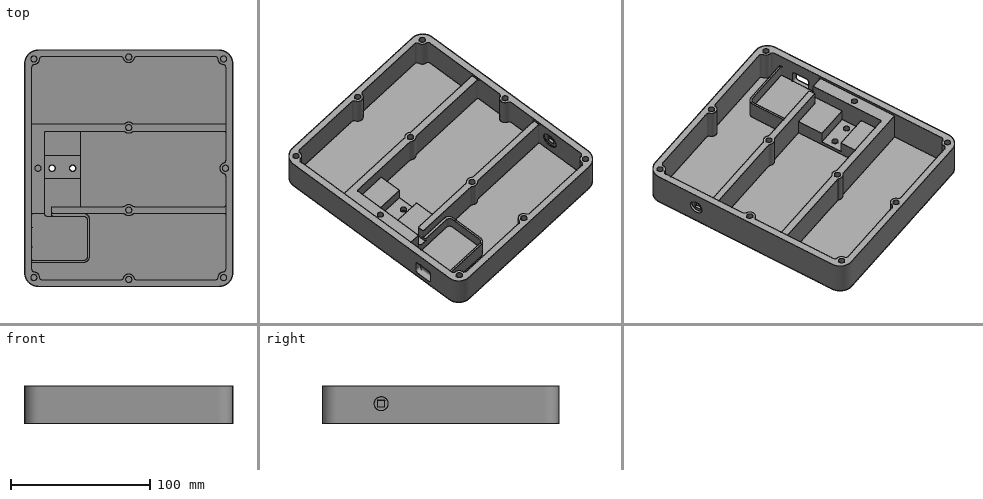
import cadquery as cq
import math

LENGTH_X = 149.6
LENGTH_Y = 170.0
HEIGHT = 27.0
CORNER_RADIUS = 10.0
FLOOR = 2.0
INNER_X = 69.7
INNER_Y = 80.2
OUTER_X = LENGTH_X / 2
OUTER_Y = LENGTH_Y / 2

SCREW_DIAMETER = 4.5
SCREW_DEPTH = 17.0
BOSS_DIAMETER = 8.0
WALL_BOSS_FILLET = 2.0
RIB_BOSS_FILLET = 3.0
CORNER_SCREW_X = 68.2
CORNER_SCREW_Y = 78.5
END_SCREW_Y = 79.9
SIDE_SCREW_X = 69.5
LEDGE_SCREW_X = -65.3

RIB_TOP = 25.0
UPPER_RIB_BACK = 31.8
UPPER_RIB_FRONT = 26.5
LOWER_RIB_BACK = -27.7
LOWER_RIB_FRONT = -32.5
SMALL_RADIUS = 1.0

LEDGE_X = -60.5
PLATFORM_X = -34.5
PLATFORM_TOP = 14.1
GAP_BACK = 9.0
GAP_FRONT = -7.5
GAP_TOP = 5.0
MOUNT_HOLES_X = (-55.0, -40.3)

TRAY_X = -28.2
TRAY_FRONT = -67.7
TRAY_WALL = 1.4
TRAY_BACK_WALL = 2.0
TRAY_TOP = 16.7
TRAY_FLOOR = 7.1
TRAY_INNER_RADIUS = 3.0
TRAY_OUTER_RADIUS = TRAY_INNER_RADIUS + TRAY_WALL
PASSAGE_X = -55.5
TRAY_INNER_BACK = LOWER_RIB_FRONT - TRAY_BACK_WALL

SLOT_Y = -49.6
SLOT_WIDTH = 14.0
SLOT_BOTTOM = 4.0
SLOT_TOP = 16.5
SLOT_RADIUS = 2.0
STEP_X = -70.0
STEP_RADIUS = 1.0

JACK_Y = -42.8
JACK_Z = 14.3
JACK_SIDE = 5.1
JACK_WEB = 2.0
JACK_INNER_DIAMETER = 12.0
JACK_INNER_DEPTH = 1.0
JACK_OUTER_DIAMETER = 10.0

corner_screws = [(i * CORNER_SCREW_X, j * CORNER_SCREW_Y) for i in (-1, 1) for j in (-1, 1)]
wall_screws = corner_screws + [(0, -END_SCREW_Y), (0, END_SCREW_Y), (SIDE_SCREW_X, 0)]
rib_screws = [
    (0, (UPPER_RIB_BACK + UPPER_RIB_FRONT) / 2),
    (0, (LOWER_RIB_BACK + LOWER_RIB_FRONT) / 2),
]
bossed_screws = wall_screws + rib_screws
all_screws = bossed_screws + [(LEDGE_SCREW_X, 0)]


def block(x0, x1, y0, y1, z0, z1):
    """Box between two opposite corners."""
    return cq.Workplane("XY").box(x1 - x0, y1 - y0, z1 - z0, centered=False).translate((x0, y0, z0))


def round_upright_edges(solid, points, reach, radius):
    """Fillet the vertical edges that lie within reach of each (x, y) point."""
    for x, y in points:
        near = cq.selectors.BoxSelector((x - reach, y - reach, 0), (x + reach, y + reach, HEIGHT))
        edges = solid.edges("|Z").edges(near)
        if edges.size():
            solid = edges.fillet(radius)
    return solid


def compartment(x0, x1, y0, y1, rounded_corners=(), blend_rib_bosses=True):
    """Cavity above the floor that leaves the screw bosses standing."""
    bosses = cq.Workplane("XY").pushPoints(bossed_screws).circle(BOSS_DIAMETER / 2).extrude(HEIGHT)
    cavity = block(x0, x1, y0, y1, FLOOR, HEIGHT).cut(bosses)
    cavity = round_upright_edges(cavity, wall_screws, BOSS_DIAMETER, WALL_BOSS_FILLET)
    if blend_rib_bosses:
        cavity = round_upright_edges(cavity, rib_screws, BOSS_DIAMETER, RIB_BOSS_FILLET)
    return round_upright_edges(cavity, rounded_corners, SMALL_RADIUS, SMALL_RADIUS)


def make_shell():
    """Rounded box with three compartments, its ribs and ledge set below the rim."""
    shell = block(-OUTER_X, OUTER_X, -OUTER_Y, OUTER_Y, 0, HEIGHT).edges("|Z").fillet(CORNER_RADIUS)
    back = compartment(-INNER_X, INNER_X, UPPER_RIB_BACK, INNER_Y, blend_rib_bosses=False)
    middle_corners = [
        (LEDGE_X, UPPER_RIB_FRONT),
        (INNER_X, UPPER_RIB_FRONT),
        (INNER_X, LOWER_RIB_BACK),
    ]
    middle = compartment(LEDGE_X, INNER_X, LOWER_RIB_BACK, UPPER_RIB_FRONT, middle_corners)
    front_corners = [(-INNER_X, LOWER_RIB_FRONT), (INNER_X, LOWER_RIB_FRONT)]
    front = compartment(-INNER_X, INNER_X, -INNER_Y, LOWER_RIB_FRONT, front_corners)
    shell = shell.cut(back).cut(middle).cut(front)

    for _, y in rib_screws:
        shell = shell.cut(block(-INNER_X, INNER_X, y - BOSS_DIAMETER, y + BOSS_DIAMETER, RIB_TOP, HEIGHT))
    return shell.cut(block(-INNER_X, LEDGE_X, LOWER_RIB_FRONT, UPPER_RIB_BACK, RIB_TOP, HEIGHT))


def add_platform(body):
    """Two raised pads beside the ledge with a lower gap between them."""
    for front, back, top in (
        (LOWER_RIB_BACK, GAP_FRONT, PLATFORM_TOP),
        (GAP_FRONT, GAP_BACK, GAP_TOP),
        (GAP_BACK, UPPER_RIB_FRONT, PLATFORM_TOP),
    ):
        body = body.union(block(LEDGE_X, PLATFORM_X, front, back, 0, top))
    return body


def add_tray(body):
    """Walled tray with a raised floor, and the passage from it to the platform."""
    walls = block(-INNER_X, TRAY_X, TRAY_FRONT, LOWER_RIB_FRONT, 0, TRAY_TOP)
    walls = walls.edges("|Z and >X").fillet(TRAY_OUTER_RADIUS)

    pocket = block(
        -INNER_X, TRAY_X - TRAY_WALL, TRAY_FRONT + TRAY_WALL, TRAY_INNER_BACK, TRAY_FLOOR, TRAY_TOP
    )
    pocket = pocket.edges("|Z and >X").fillet(TRAY_INNER_RADIUS)
    pocket = round_upright_edges(pocket, [(-INNER_X, TRAY_FRONT + TRAY_WALL)], SMALL_RADIUS, SMALL_RADIUS)

    alcove = block(
        -INNER_X, LEDGE_X + TRAY_BACK_WALL, TRAY_INNER_BACK, LOWER_RIB_FRONT, TRAY_FLOOR, TRAY_TOP
    )
    alcove = round_upright_edges(alcove, [(-INNER_X, LOWER_RIB_FRONT)], SMALL_RADIUS, SMALL_RADIUS)
    wall_end = cq.Workplane("XY").center(LEDGE_X + TRAY_BACK_WALL, LOWER_RIB_FRONT)
    wall_end = wall_end.circle(TRAY_BACK_WALL).extrude(PLATFORM_TOP)
    alcove = alcove.cut(wall_end)

    passage = block(LEDGE_X, PASSAGE_X, TRAY_INNER_BACK, LOWER_RIB_BACK, PLATFORM_TOP, HEIGHT)
    body = body.union(walls).cut(pocket).cut(alcove).cut(passage)
    rib_end = [(PASSAGE_X, LOWER_RIB_FRONT), (PASSAGE_X, TRAY_INNER_BACK)]
    return round_upright_edges(body, rib_end, SMALL_RADIUS / 4, SMALL_RADIUS)


def cut_screw_holes(body):
    """Blind screw holes from the rim and two mounting holes through the gap."""
    blind = cq.Workplane("XY", origin=(0, 0, HEIGHT)).pushPoints(all_screws)
    blind = blind.circle(SCREW_DIAMETER / 2).extrude(-SCREW_DEPTH)
    mounts = cq.Workplane("XY").pushPoints([(x, 0) for x in MOUNT_HOLES_X])
    mounts = mounts.circle(SCREW_DIAMETER / 2).extrude(PLATFORM_TOP)
    return body.cut(blind).cut(mounts)


def cut_connector_slot(body):
    """Rounded slot whose sill curves up a step into the tray floor."""
    bend = STEP_RADIUS * math.sqrt(0.5)
    sill_end = STEP_X - STEP_RADIUS
    step_end = STEP_X + STEP_RADIUS
    slot_back = SLOT_Y + SLOT_WIDTH / 2
    slot_front = SLOT_Y - SLOT_WIDTH / 2
    profile = (
        cq.Workplane("XZ", origin=(0, slot_back, 0))
        .moveTo(-OUTER_X, SLOT_BOTTOM)
        .lineTo(sill_end, SLOT_BOTTOM)
        .threePointArc(
            (sill_end + bend, SLOT_BOTTOM + STEP_RADIUS - bend),
            (STEP_X, SLOT_BOTTOM + STEP_RADIUS),
        )
        .lineTo(STEP_X, TRAY_FLOOR - STEP_RADIUS)
        .threePointArc(
            (step_end - bend, TRAY_FLOOR - STEP_RADIUS + bend),
            (step_end, TRAY_FLOOR),
        )
        .lineTo(step_end, SLOT_TOP)
        .lineTo(-OUTER_X, SLOT_TOP)
        .close()
        .extrude(SLOT_WIDTH)
    )
    opening = block(-OUTER_X, step_end, slot_front, slot_back, SLOT_BOTTOM, SLOT_TOP)
    opening = opening.edges("|X").fillet(SLOT_RADIUS)
    return body.cut(profile.intersect(opening))


def cut_jack_opening(body):
    """Square opening with a round recess on each side of the wall."""
    inner_face = cq.Workplane("YZ", origin=(INNER_X, JACK_Y, JACK_Z))
    outer_face = cq.Workplane("YZ", origin=(OUTER_X, JACK_Y, JACK_Z))
    wall = OUTER_X - INNER_X
    outer_depth = wall - JACK_INNER_DEPTH - JACK_WEB
    inner_recess = inner_face.circle(JACK_INNER_DIAMETER / 2).extrude(JACK_INNER_DEPTH)
    outer_recess = outer_face.circle(JACK_OUTER_DIAMETER / 2).extrude(-outer_depth)
    opening = inner_face.rect(JACK_SIDE, JACK_SIDE).extrude(wall)
    return body.cut(inner_recess).cut(outer_recess).cut(opening)


result = make_shell()
result = add_platform(result)
result = add_tray(result)
result = cut_screw_holes(result)
result = cut_connector_slot(result)
result = cut_jack_opening(result)